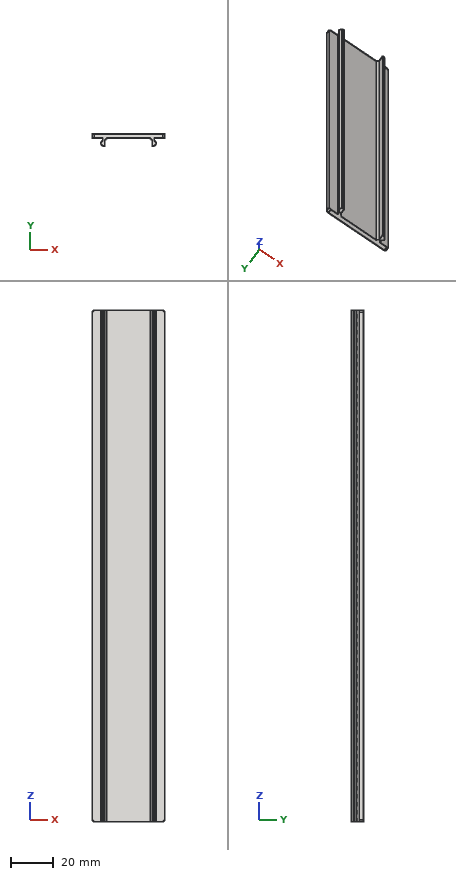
import cadquery as cq

length = 239.95
width = 34.2
depth = 5.83
plate_thickness = 2.05
corner_chamfer = 1.0

stem_inner = 11.1
stem_thickness = 1.0
base_chamfer = 1.0
barb_reach = 2.0
barb_root_depth = 3.2
barb_side_top = 4.2
barb_side_bottom = 4.6
nose_reach = 1.3
nose_depth = 5.5
tip_width = 0.5


def make_plate():
    """Flat plate with its four corners cut off."""
    plate = cq.Workplane("XY").box(width, plate_thickness, length)
    return plate.translate((0, -plate_thickness / 2, 0)).edges("|Y").chamfer(corner_chamfer)


def make_hook():
    """Full-length snap hook on the +X side, braced at its root and barbed on the outside."""
    stem_outer = stem_inner + stem_thickness
    barb_outer = stem_inner + barb_reach
    return (
        cq.Workplane("XY", origin=(0, 0, -length / 2))
        .moveTo(stem_inner - base_chamfer, -plate_thickness)
        .lineTo(stem_inner, -plate_thickness - base_chamfer)
        .lineTo(stem_inner, -depth)
        .lineTo(stem_inner + tip_width, -depth)
        .lineTo(stem_inner + nose_reach, -nose_depth)
        .lineTo(barb_outer, -barb_side_bottom)
        .lineTo(barb_outer, -barb_side_top)
        .lineTo(stem_outer, -barb_root_depth)
        .lineTo(stem_outer, -plate_thickness)
        .close()
        .extrude(length)
    )


hook = make_hook()
result = make_plate().union(hook).union(hook.mirror("YZ"))